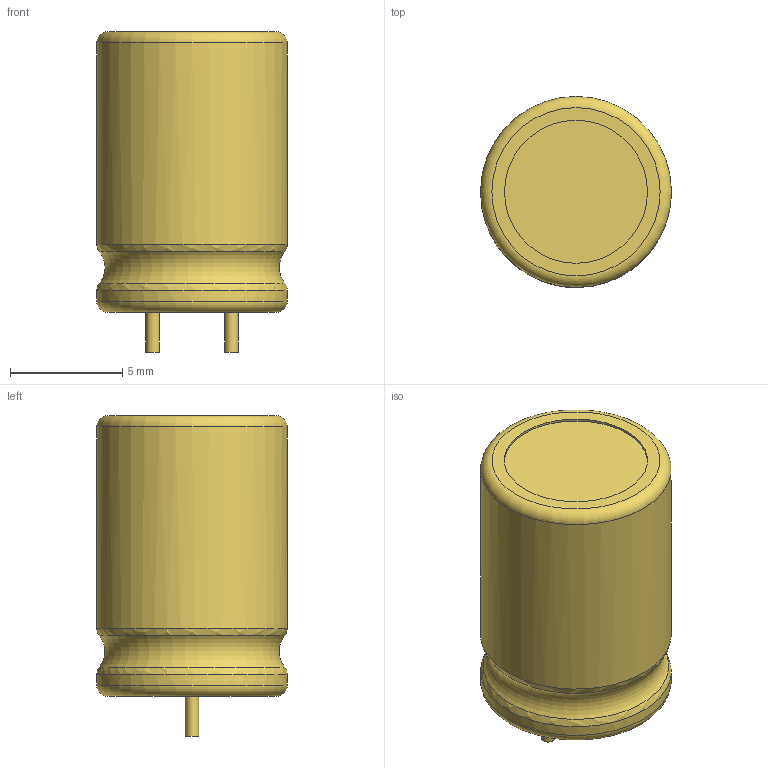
import cadquery as cq

can_diameter = 8.5
can_height = 12.5
edge_fillet = 0.5
can_radius = can_diameter / 2

groove_centre_height = 2.0
groove_width = 1.65
groove_depth = 0.37
groove_bottom_height = groove_centre_height - groove_width / 2
groove_top_height = groove_centre_height + groove_width / 2

recess_radius = 0.75 * can_radius
recess_depth = 0.1

lead_diameter = 0.6
lead_pitch = 3.5
lead_length = 1.78


def make_can():
    """Revolve the half profile, then round the rims and the groove edges."""
    can = (
        cq.Workplane("XZ")
        .lineTo(can_radius, 0)
        .lineTo(can_radius, groove_bottom_height)
        .threePointArc(
            (can_radius - groove_depth, groove_centre_height),
            (can_radius, groove_top_height),
        )
        .lineTo(can_radius, can_height)
        .lineTo(0, can_height)
        .close()
        .revolve(360, (0, 0, 0), (0, 1, 0))
    )
    return can.faces("%CYLINDER").edges("%CIRCLE").fillet(edge_fillet)


def make_recess():
    """Disc to remove from the top face."""
    return (
        cq.Workplane("XY", origin=(0, 0, can_height - recess_depth))
        .circle(recess_radius)
        .extrude(recess_depth)
    )


def make_leads():
    """Two round wires hanging from the base, spaced along X."""
    return (
        cq.Workplane("XY")
        .pushPoints([(-lead_pitch / 2, 0), (lead_pitch / 2, 0)])
        .circle(lead_diameter / 2)
        .extrude(-lead_length)
    )


result = make_can().cut(make_recess()).union(make_leads())